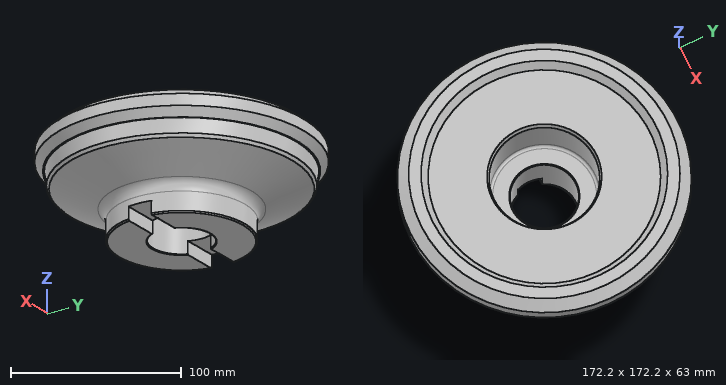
import cadquery as cq
import math

height = 63.0

ring_radius = 86.1
ring_height = 18.3
ring_bevel_height = 5.3
ring_top_radius = 79.4
ring_bottom_radius = 81.3
recess_mouth_radius = 72.2
recess_floor_radius = 68.0
recess_depth = 4.3

shoulder_top_radius = 80.5
shoulder_bottom_radius = 79.2
shoulder_height = 9.3
shoulder_bevel_width = 1.5
shoulder_bevel_height = 2.0
neck_radius = 44.5
neck_fillet = 8.0
neck_edge_chamfer = 0.9
cone_slope = math.radians(24)

socket_radius = 32.4
socket_depth = 33.2
socket_chamfer_width = 1.2
socket_chamfer_height = 2.4
socket_fillet = 1.9
bore_radius = 20.2
bore_chamfer = 0.5

slot_width = 16.0
slot_depth = 8.8

ring_bottom_z = height - ring_height
recess_floor_z = height - recess_depth
socket_floor_z = height - socket_depth
shoulder_bottom_z = ring_bottom_z - shoulder_height
cone_top_radius = shoulder_bottom_radius - shoulder_bevel_width
cone_top_z = shoulder_bottom_z - shoulder_bevel_height

cone_neck_z = cone_top_z - (cone_top_radius - neck_radius) * math.tan(cone_slope)
fillet_turn = math.pi / 2 - cone_slope
fillet_tangent = neck_fillet * math.tan(fillet_turn / 2)
fillet_center_radius = neck_radius + neck_fillet
fillet_center_z = cone_neck_z - fillet_tangent
fillet_end_radius = neck_radius + fillet_tangent * math.cos(cone_slope)
fillet_end_z = cone_neck_z + fillet_tangent * math.sin(cone_slope)
fillet_mid_radius = fillet_center_radius - neck_fillet * math.cos(fillet_turn / 2)
fillet_mid_z = fillet_center_z + neck_fillet * math.sin(fillet_turn / 2)

socket_arc_inset = socket_fillet * (1 - math.sqrt(0.5))


def revolve_about_z(profile):
    """Revolve a closed (radius, z) outline about the Z axis."""
    return profile.close().revolve(360, (0, 0, 0), (0, 1, 0))


def make_ring():
    """Rim ring that fits around the top disc of the hub."""
    profile = (
        cq.Workplane("XZ")
        .moveTo(recess_floor_radius, ring_bottom_z)
        .lineTo(ring_bottom_radius, ring_bottom_z)
        .lineTo(ring_radius, ring_bottom_z + ring_bevel_height)
        .lineTo(ring_radius, height - ring_bevel_height)
        .lineTo(ring_top_radius, height)
        .lineTo(recess_mouth_radius, height)
        .lineTo(recess_floor_radius, recess_floor_z)
    )
    return revolve_about_z(profile)


def make_slot():
    """Straight slot cutter through the whole neck along X."""
    return cq.Workplane("XY").box(
        2 * ring_radius, slot_width, slot_depth, centered=(True, True, False)
    )


def make_hub():
    """Hub with a stepped bore, tapered underside and slotted neck."""
    profile = (
        cq.Workplane("XZ")
        .moveTo(bore_radius + bore_chamfer, 0)
        .lineTo(neck_radius - neck_edge_chamfer, 0)
        .lineTo(neck_radius, neck_edge_chamfer)
        .lineTo(neck_radius, fillet_center_z)
        .threePointArc((fillet_mid_radius, fillet_mid_z), (fillet_end_radius, fillet_end_z))
        .lineTo(cone_top_radius, cone_top_z)
        .lineTo(shoulder_bottom_radius, shoulder_bottom_z)
        .lineTo(shoulder_top_radius, ring_bottom_z)
        .lineTo(recess_floor_radius, ring_bottom_z)
        .lineTo(recess_floor_radius, recess_floor_z)
        .lineTo(socket_radius + socket_chamfer_width, recess_floor_z)
        .lineTo(socket_radius, recess_floor_z - socket_chamfer_height)
        .lineTo(socket_radius, socket_floor_z + socket_fillet)
        .threePointArc(
            (socket_radius - socket_arc_inset, socket_floor_z + socket_arc_inset),
            (socket_radius - socket_fillet, socket_floor_z),
        )
        .lineTo(bore_radius + bore_chamfer, socket_floor_z)
        .lineTo(bore_radius, socket_floor_z - bore_chamfer)
        .lineTo(bore_radius, bore_chamfer)
    )
    return revolve_about_z(profile).cut(make_slot())


ring = make_ring()
hub = make_hub()

result = cq.Compound.makeCompound([ring.val(), hub.val()])